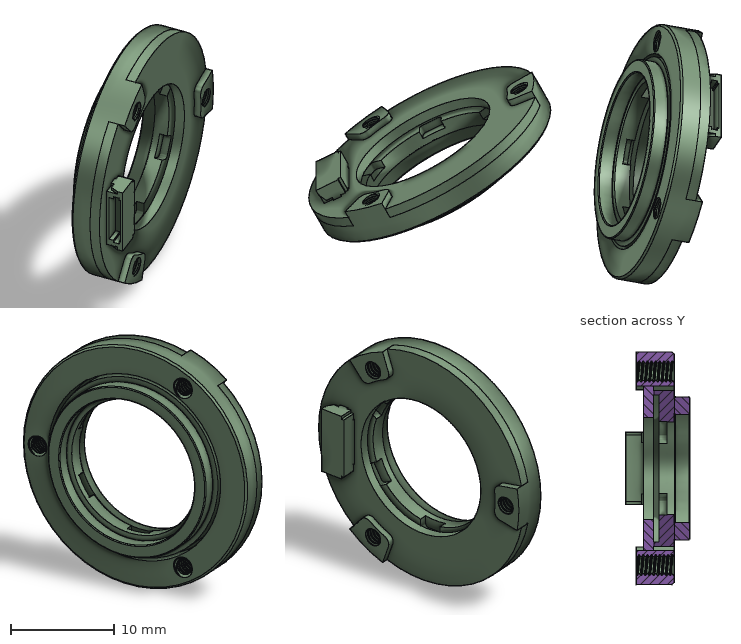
import cadquery as cq
import math


ring_length = 1.5
flange_thickness = 2.0
board_thickness = 1.0
tab_overhang = 0.7
connector_height = 1.7
flange_front = ring_length
board_front = flange_front + flange_thickness
board_back = board_front + board_thickness
tab_back = board_back + tab_overhang

ring_outer_diameter = 17.6
ring_bore_diameter = 15.0
ring_chamfer = 0.1

mount_diameter = 18.6
lip_bore_diameter = 14.0
lip_thickness = 1.5
mount_pocket_diameter = 17.8
notch_count = 6
notch_floor_diameter = 16.2
notch_width = 2.4
notch_depth = 0.8
notch_corner_radius = 0.4
notch_start_angle = 30.0

outer_diameter = 25.0
housing_bore_diameter = 19.2
housing_chamfer = 0.2
tab_count = 3
tab_pitch = 360 / tab_count
tab_half_angle = 10.7
tab_corner_radius = 0.8
clearing_margin = 1.0

screw_circle_radius = 10.8
thread_core_diameter = 1.65
thread_major_diameter = 2.0
thread_pitch = 0.4
thread_mouth_width = 0.32
thread_root_width = 0.05
thread_groove_overlap = 0.1
countersink_diameter = 2.1

connector_near_y = -8.1
connector_far_y = -10.8
connector_length = 7.0
back_step = 0.3
gap_height = 0.15
gap_end_y = -8.92
contact_end_y = -8.55
contact_row_length = 5.0
end_notch_length = 0.3
end_notch_height = 0.3
end_notch_near_y = -9.8
end_notch_corner_y = -10.4
end_notch_reach = 1.12
slot_offset = 0.25
slot_width = 1.2
slot_length = 5.0
key_offset = 0.7
key_width = 0.6
key_length = 5.5
slot_depth = 1.5

board_bore_diameter = 14.6


def disc(diameter, start, length):
    """Solid disc on the X axis."""
    return cq.Workplane("YZ", origin=(start, 0, 0)).circle(diameter / 2).extrude(length)


def tube(outer, inner, start, length):
    """Disc with a concentric round bore."""
    return disc(outer, start, length).cut(disc(inner, start, length))


def box(x_range, y_range, length):
    """Box between two X values and two Y values, centred on Z = 0."""
    return (
        cq.Workplane("XY", origin=(0, 0, -length / 2))
        .moveTo(x_range[0], y_range[0])
        .lineTo(x_range[1], y_range[0])
        .lineTo(x_range[1], y_range[1])
        .lineTo(x_range[0], y_range[1])
        .close()
        .extrude(length)
    )


def around_x(shape, angle):
    return shape.rotate((0, 0, 0), (1, 0, 0), angle)


def polar_point(x, radius, angle):
    return (x, radius * math.cos(angle), radius * math.sin(angle))


def sector(inner, outer, half_angle, start, length):
    """Ring segment centred on +Y, between two radii."""
    across = math.sin(math.radians(half_angle))
    along = math.cos(math.radians(half_angle))
    return (
        cq.Workplane("YZ", origin=(start, 0, 0))
        .moveTo(inner * along, -inner * across)
        .lineTo(outer * along, -outer * across)
        .threePointArc((outer, 0), (outer * along, outer * across))
        .lineTo(inner * along, inner * across)
        .threePointArc((inner, 0), (inner * along, -inner * across))
        .close()
        .extrude(length)
    )


def make_thread_groove():
    """Helical groove along X, longer than the hole by one turn at each end."""
    start = flange_front - thread_pitch
    length = tab_back - flange_front + 2 * thread_pitch
    core = thread_core_diameter / 2
    mouth_radius = core - thread_groove_overlap
    root_radius = thread_major_diameter / 2
    helix = cq.Wire.makeHelix(thread_pitch, length, core)
    groove = (
        cq.Workplane("XZ")
        .moveTo(mouth_radius, -thread_mouth_width / 2)
        .lineTo(root_radius, -thread_root_width / 2)
        .lineTo(root_radius, thread_root_width / 2)
        .lineTo(mouth_radius, thread_mouth_width / 2)
        .close()
        .sweep(cq.Workplane(obj=helix), isFrenet=True)
    )
    return groove.rotate((0, 0, 0), (0, 1, 0), 90).translate((start, 0, 0))


def make_housing():
    housing = disc(outer_diameter, flange_front, tab_back - flange_front)
    housing = housing.faces("<X").edges().chamfer(housing_chamfer)
    housing = housing.cut(disc(housing_bore_diameter, flange_front, tab_back - flange_front))

    gap = sector(
        housing_bore_diameter / 2 - clearing_margin,
        outer_diameter / 2 + clearing_margin,
        tab_pitch / 2 - tab_half_angle,
        board_front,
        tab_back - board_front,
    )
    for i in range(tab_count):
        housing = housing.cut(around_x(gap, (i + 0.5) * tab_pitch))

    corner_x = (board_front + tab_back) / 2
    for i in range(tab_count):
        for side in (-1, 1):
            angle = math.radians(i * tab_pitch + side * tab_half_angle)
            corner = polar_point(corner_x, housing_bore_diameter / 2, angle)
            housing = housing.edges(cq.selectors.NearestToPointSelector(corner)).fillet(tab_corner_radius)

    countersink_radius = countersink_diameter / 2
    core = disc(thread_core_diameter, flange_front, tab_back - flange_front)
    countersink = cq.Workplane(
        cq.Solid.makeCone(
            countersink_radius,
            0,
            countersink_radius,
            pnt=cq.Vector(flange_front, 0, 0),
            dir=cq.Vector(1, 0, 0),
        )
    )
    groove = make_thread_groove()
    for i in range(tab_count):
        place = polar_point(0, screw_circle_radius, math.radians(i * tab_pitch))
        for cutter in (groove, core, countersink):
            housing = housing.cut(cutter.translate(place))
    return housing


def make_clamping_ring():
    ring = tube(ring_outer_diameter, ring_bore_diameter, 0, ring_length)
    return ring.faces("<X or >X").edges().chamfer(ring_chamfer)


def make_mount():
    lip_back = flange_front + lip_thickness
    mount = tube(mount_diameter, lip_bore_diameter, flange_front, flange_thickness)
    mount = mount.cut(disc(mount_pocket_diameter, lip_back, board_front - lip_back))

    bar = (
        cq.Workplane("YZ", origin=(lip_back - notch_depth, 0, 0))
        .rect(notch_floor_diameter, notch_width)
        .extrude(notch_depth)
        .edges("|X")
        .fillet(notch_corner_radius)
    )
    for i in range(notch_count // 2):
        mount = mount.cut(around_x(bar, notch_start_angle + i * 360 / notch_count))
    return mount


def make_board():
    board = tube(outer_diameter, board_bore_diameter, board_front, board_thickness)
    notch = sector(
        housing_bore_diameter / 2,
        outer_diameter / 2 + clearing_margin,
        tab_half_angle,
        board_front,
        board_thickness,
    )
    notch = notch.edges("|X").edges("<Y").fillet(tab_corner_radius)
    for i in range(tab_count):
        board = board.cut(around_x(notch, i * tab_pitch))
    return board


def make_connector():
    bottom = board_back
    top = bottom + connector_height
    step_y = connector_near_y - back_step
    body = box((bottom, top), (connector_far_y, step_y), connector_length)
    body = body.union(box((bottom, top), (step_y, connector_near_y), connector_length - 2 * back_step))

    gap_top = bottom + gap_height
    body = body.cut(box((bottom, gap_top), (gap_end_y, connector_near_y), connector_length))
    body = body.union(box((bottom, gap_top), (contact_end_y, connector_near_y), contact_row_length))

    end_notch = (
        cq.Workplane("XY", origin=(0, 0, connector_length / 2 - end_notch_length))
        .moveTo(bottom, connector_far_y)
        .lineTo(bottom + end_notch_reach, connector_far_y)
        .lineTo(bottom + end_notch_height, end_notch_corner_y)
        .lineTo(bottom + end_notch_height, end_notch_near_y)
        .lineTo(bottom, end_notch_near_y)
        .close()
        .extrude(end_notch_length)
    )
    body = body.cut(end_notch).cut(end_notch.mirror("XY"))

    slot_y = (connector_far_y, connector_far_y + slot_depth)
    slot_x = bottom + slot_offset
    key_x = bottom + key_offset
    body = body.cut(box((slot_x, slot_x + slot_width), slot_y, slot_length))
    return body.cut(box((key_x, key_x + key_width), slot_y, key_length))


housing = make_housing()
clamping_ring = make_clamping_ring()
mount = make_mount()
board = make_board()
connector = make_connector()

result = cq.Compound.makeCompound(
    [housing.val(), clamping_ring.val(), mount.val(), board.val(), connector.val()]
)